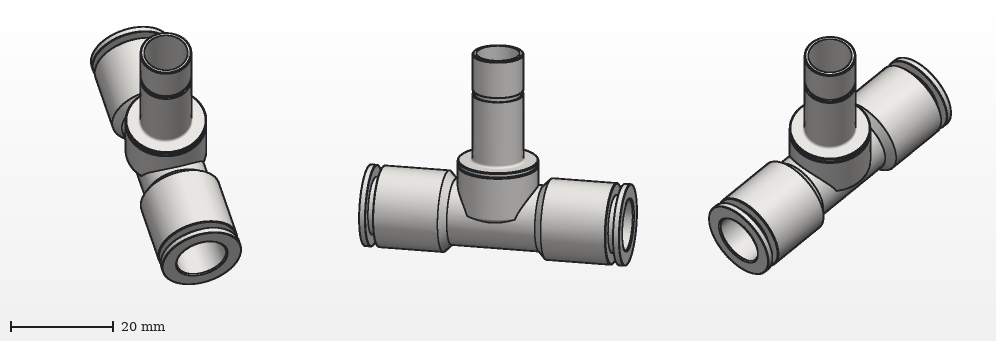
import cadquery as cq

run_length = 52.0
run_radius = 13.0 / 2
socket_radius = 16.0 / 2
bore_radius = 8.5 / 2
collar_thickness = 1.3
collar_edge_chamfer = 0.1
neck_radius = 11.4 / 2
neck_end = 2.75
socket_end = 15.7
socket_edge_chamfer = 0.15
tube_radius = 10.0 / 2
tube_seat_depth = 15.6
mouth_chamfer = 0.25

boss_radius = 15.8 / 2
boss_top = 11.5
boss_edge_chamfer = 0.2
boss_bottom = 1.6
boss_bottom_fillet = 0.4
underside_inner_radius = 5.2
underside_slope = 0.65
boss_groove_bottom = 10.3
boss_groove_width = 0.3
boss_groove_depth = 0.1
stem_top = 33.5
stem_foot_fillet = 0.5
stem_edge_chamfer = 0.2
stem_groove_radius = 9.2 / 2
stem_groove_bottom = 25.05
stem_groove_width = 0.85
stem_groove_chamfer = 0.15


def cylinder_along_z(radius, bottom, top):
    return cq.Workplane("XY").workplane(offset=bottom).circle(radius).extrude(top - bottom)


def make_half_run():
    """Revolve the outer profile from the left end to the middle of the run."""
    left = -run_length / 2
    collar_back = left + collar_thickness
    socket_front = left + neck_end
    taper_start = left + socket_end
    taper_end = taper_start + socket_radius - run_radius
    profile = [
        (left, 0),
        (left, socket_radius - collar_edge_chamfer),
        (left + collar_edge_chamfer, socket_radius),
        (collar_back - collar_edge_chamfer, socket_radius),
        (collar_back, socket_radius - collar_edge_chamfer),
        (collar_back, neck_radius),
        (socket_front, neck_radius),
        (socket_front, socket_radius - socket_edge_chamfer),
        (socket_front + socket_edge_chamfer, socket_radius),
        (taper_start, socket_radius),
        (taper_end, run_radius),
        (0, run_radius),
        (0, 0),
    ]
    return cq.Workplane("XY").polyline(profile).close().revolve(360, (0, 0, 0), (1, 0, 0))


def make_tube_seat():
    """Socket hole in the left end, with a chamfered mouth."""
    left = -run_length / 2
    profile = [
        (left, 0),
        (left, tube_radius + mouth_chamfer),
        (left + mouth_chamfer, tube_radius),
        (left + tube_seat_depth, tube_radius),
        (left + tube_seat_depth, 0),
    ]
    return cq.Workplane("XY").polyline(profile).close().revolve(360, (0, 0, 0), (1, 0, 0))


def make_boss():
    """Round boss with a conical underside and a fine groove below its top."""
    underside_bottom = boss_bottom - underside_slope * (boss_radius - underside_inner_radius)
    profile = [
        (0, underside_bottom),
        (underside_inner_radius, underside_bottom),
        (boss_radius, boss_bottom),
        (boss_radius, boss_top),
        (0, boss_top),
    ]
    boss = cq.Workplane("XZ").polyline(profile).close().revolve(360, (0, 0, 0), (0, 1, 0))
    boss = boss.faces(">Z").edges().chamfer(boss_edge_chamfer)
    lower_rim = cq.selectors.BoxSelector(
        (-run_length, -run_length, boss_bottom - boss_bottom_fillet),
        (run_length, run_length, boss_bottom + boss_bottom_fillet),
    )
    boss = boss.edges("%CIRCLE").edges(lower_rim).fillet(boss_bottom_fillet)
    groove_top = boss_groove_bottom + boss_groove_width
    groove = cylinder_along_z(boss_radius, boss_groove_bottom, groove_top)
    groove_floor = boss_radius - boss_groove_depth
    return boss.cut(groove.cut(cylinder_along_z(groove_floor, boss_groove_bottom, groove_top)))


def make_stem():
    """Tube stem with a retaining groove and a concave fillet at its foot."""
    groove_top = stem_groove_bottom + stem_groove_width
    fillet_reach = stem_foot_fillet * (1 - 0.5 ** 0.5)
    return (
        cq.Workplane("XZ")
        .moveTo(0, boss_top)
        .lineTo(tube_radius + stem_foot_fillet, boss_top)
        .threePointArc(
            (tube_radius + fillet_reach, boss_top + fillet_reach),
            (tube_radius, boss_top + stem_foot_fillet),
        )
        .lineTo(tube_radius, stem_groove_bottom)
        .lineTo(stem_groove_radius, stem_groove_bottom)
        .lineTo(stem_groove_radius, groove_top)
        .lineTo(tube_radius - stem_groove_chamfer, groove_top)
        .lineTo(tube_radius, groove_top + stem_groove_chamfer)
        .lineTo(tube_radius, stem_top - stem_edge_chamfer)
        .lineTo(tube_radius - stem_edge_chamfer, stem_top)
        .lineTo(0, stem_top)
        .close()
        .revolve(360, (0, 0, 0), (0, 1, 0))
    )


half_run = make_half_run()
outside = half_run.union(half_run.mirror("YZ")).union(make_boss()).union(make_stem())

tube_seat = make_tube_seat()
run_bore = cq.Workplane("YZ").circle(bore_radius).extrude(run_length / 2, both=True)
branch_bore = cylinder_along_z(bore_radius, 0, stem_top)

result = outside.cut(run_bore).cut(branch_bore).cut(tube_seat).cut(tube_seat.mirror("YZ"))